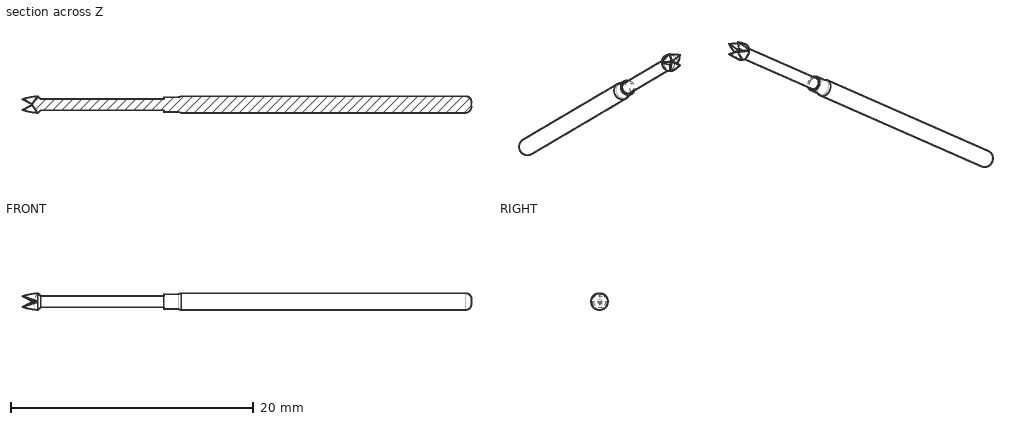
import cadquery as cq
import math


overall_length = 37.08
head_rim_x = 1.29
head_back_x = 1.52
neck_start_x = 11.68
shoulder_start_x = 12.88
barrel_start_x = 13.12

barrel_radius = 1.41 / 2
head_rim_radius = barrel_radius
head_tip_radius = 0.63
rod_radius = 0.48
neck_radius = 0.625
barrel_end_fillet = 0.52

groove_count = 4
groove_angle = 50.0
groove_slope = 55.0
groove_floor_width = 0.06
cutter_depth = 2.0
cutter_length = 2.0


def groove_centre_depth():
    """X at which the groove floors meet on the axis, so that the tips end up at X = 0."""
    slope = math.radians(groove_slope)
    wall_rise = 1 / (math.tan(math.radians(groove_angle / 2)) * math.sin(slope))
    tip_offset = head_tip_radius / math.sqrt(2)
    wall_width = tip_offset - groove_floor_width / 2
    return wall_width * wall_rise - tip_offset / math.tan(slope)


def make_turned_body():
    """Solid of revolution: crown head blank, rod, neck and round-ended barrel."""
    fillet_start_x = overall_length - barrel_end_fillet
    end_flat_radius = barrel_radius - barrel_end_fillet
    arc_reach = barrel_end_fillet / math.sqrt(2)
    profile = (
        cq.Workplane("XZ")
        .moveTo(0, 0)
        .lineTo(0, head_tip_radius)
        .lineTo(head_rim_x, head_rim_radius)
        .lineTo(head_back_x, rod_radius)
        .lineTo(neck_start_x, rod_radius)
        .lineTo(neck_start_x, neck_radius)
        .lineTo(shoulder_start_x, neck_radius)
        .lineTo(barrel_start_x, barrel_radius)
        .lineTo(fillet_start_x, barrel_radius)
        .threePointArc(
            (fillet_start_x + arc_reach, end_flat_radius + arc_reach),
            (overall_length, end_flat_radius),
        )
        .lineTo(overall_length, 0)
        .close()
    )
    return profile.revolve(360, (0, 0, 0), (1, 0, 0))


def make_groove_cutter():
    """Trapezoidal prism along the bottom of the groove on the +Y side."""
    slope = math.radians(groove_slope)
    half_floor = groove_floor_width / 2
    half_mouth = half_floor + cutter_depth * math.tan(math.radians(groove_angle / 2))
    section_plane = cq.Plane(
        origin=(groove_centre_depth(), 0, 0),
        xDir=(-math.sin(slope), math.cos(slope), 0),
        normal=(math.cos(slope), math.sin(slope), 0),
    )
    return (
        cq.Workplane(section_plane)
        .moveTo(0, -half_floor)
        .lineTo(0, half_floor)
        .lineTo(cutter_depth, half_mouth)
        .lineTo(cutter_depth, -half_mouth)
        .close()
        .extrude(cutter_length, both=True)
    )


def cut_crown(body):
    """Cut the evenly spaced grooves that leave one sharp prong between each pair."""
    cutter = make_groove_cutter()
    for index in range(groove_count):
        angle = index * 360 / groove_count
        body = body.cut(cutter.rotate((0, 0, 0), (1, 0, 0), angle))
    return body


result = cut_crown(make_turned_body())